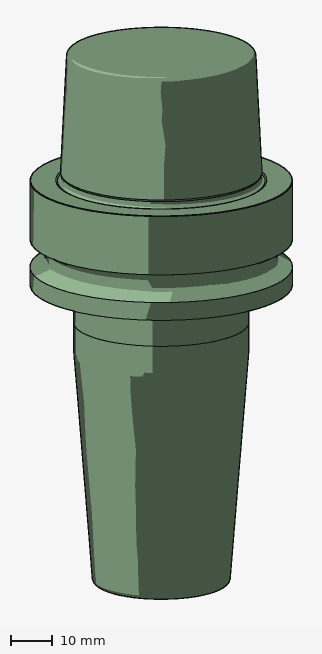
import cadquery as cq
import math


shank_length = 31.9
shank_gauge_radius = 24.2
shank_taper_ratio = 9.98
shank_end_fillet = 1.0

relief_top = 1.9
relief_neck_radius = 23.9
relief_neck_top = 1.4
relief_fillet = 0.9
relief_depth = 0.2
relief_floor_radius = 24.9
relief_outer_radius = 25.3

flange_radius = 31.5
flange_height = 26.0
flange_top_chamfer = 0.15
groove_centre = 18.13
groove_width = 6.9
groove_floor_radius = 27.7
groove_side_angle = 27.0
groove_fillet = 0.9

neck_radius = 21.0
neck_flare_width = 0.5
neck_flare_height = 1.0
joint_depth = 35.45

nose_end_depth = 100.0
nose_taper_angle = 4.5
nose_taper_start = 42.75
nose_blend_length = 0.57
nose_end_fillet = 1.0

shank_taper_height = shank_length - relief_top
shank_end_radius = shank_gauge_radius - shank_taper_height / shank_taper_ratio / 2
groove_top = -groove_centre + groove_width / 2
groove_bottom = -groove_centre - groove_width / 2
neck_flare_radius = (neck_flare_width**2 + neck_flare_height**2) / (2 * neck_flare_width)
groove_side_drop = (flange_radius - groove_floor_radius) * math.tan(math.radians(groove_side_angle))
nose_taper_length = nose_end_depth - nose_taper_start
nose_end_radius = neck_radius - nose_taper_length * math.tan(math.radians(nose_taper_angle))


def revolve_outline(outline):
    """Revolve a closed (radius, height) outline about Z."""
    return outline.revolve(360, (0, 0, 0), (0, 1, 0))


def fillet_circle(body, radius, height, fillet):
    """Round the circular edge of the given radius at the given height."""
    tolerance = 0.01
    low = (-radius - tolerance, -radius - tolerance, height - tolerance)
    high = (radius + tolerance, radius + tolerance, height + tolerance)
    at_height = cq.selectors.BoxSelector(low, high, boundingbox=True)
    return body.edges(at_height).edges(cq.selectors.RadiusNthSelector(-1)).fillet(fillet)


def make_holder():
    upper_points = [
        (0, shank_length),
        (shank_end_radius, shank_length),
        (shank_gauge_radius, relief_top),
        (relief_neck_radius, relief_neck_top),
        (relief_neck_radius, -relief_depth),
        (relief_floor_radius, -relief_depth),
        (relief_outer_radius, 0),
        (flange_radius - flange_top_chamfer, 0),
        (flange_radius, -flange_top_chamfer),
        (flange_radius, groove_top),
        (groove_floor_radius, groove_top - groove_side_drop),
        (groove_floor_radius, groove_bottom + groove_side_drop),
        (flange_radius, groove_bottom),
        (flange_radius, -flange_height),
        (neck_radius + neck_flare_width, -flange_height),
    ]
    holder = revolve_outline(
        cq.Workplane("XZ")
        .polyline(upper_points)
        .radiusArc((neck_radius, -flange_height - neck_flare_height), -neck_flare_radius)
        .lineTo(neck_radius, -joint_depth)
        .lineTo(0, -joint_depth)
        .close()
    )
    holder = fillet_circle(holder, shank_end_radius, shank_length, shank_end_fillet)
    holder = fillet_circle(holder, relief_neck_radius, -relief_depth, relief_fillet)
    for floor_edge in (groove_top - groove_side_drop, groove_bottom + groove_side_drop):
        holder = fillet_circle(holder, groove_floor_radius, floor_edge, groove_fillet)
    return holder


def make_nose():
    taper = math.radians(nose_taper_angle)
    blend_top = -nose_taper_start + nose_blend_length
    blend_end = (
        neck_radius - nose_blend_length * math.sin(taper),
        -nose_taper_start - nose_blend_length * math.cos(taper),
    )
    nose = revolve_outline(
        cq.Workplane("XZ")
        .moveTo(0, -joint_depth)
        .lineTo(neck_radius, -joint_depth)
        .lineTo(neck_radius, blend_top)
        .tangentArcPoint(blend_end, relative=False)
        .lineTo(nose_end_radius, -nose_end_depth)
        .lineTo(0, -nose_end_depth)
        .close()
    )
    return fillet_circle(nose, nose_end_radius, -nose_end_depth, nose_end_fillet)


holder = make_holder()
nose = make_nose()

result = cq.Compound.makeCompound([holder.val(), nose.val()])